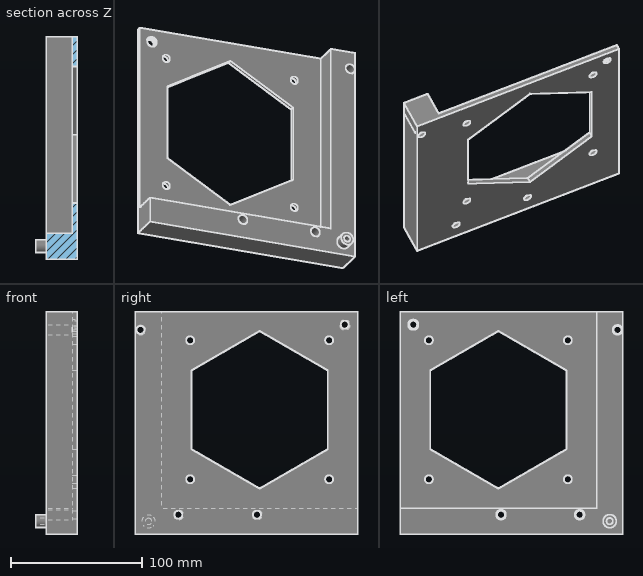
import cadquery as cq

side = 170.0
depth = 24.0
plate_thickness = 4.0
rail_width = 20.0

window_diameter = 120.0
window_centre = (side + rail_width) / 2

window_hole_diameter = 6.0
window_hole_spacing = 106.0

bore_diameter = 6.0
plate_counterbore_diameter = 8.0
plate_counterbore_depth = 2.0
plate_hole_inset = 10.0
rail_counterbore_diameter = 7.5
rail_counterbore_depth = depth - plate_thickness
side_rail_hole_y = 4.0
side_rail_hole_drop = 14.0
bottom_rail_hole_z = 15.0
bottom_rail_hole_y = 33.0
bottom_rail_hole_spacing = 60.0

pin_diameter = 10.0
pin_bore_diameter = 5.0
pin_length = 8.0
pin_inset = 10.0


def cylinder_along_x(diameter, x_start, length, y, z):
    """Solid cylinder running along +X from x_start, with its axis at (y, z)."""
    plane = cq.Workplane("YZ", origin=(x_start, y, z))
    return plane.circle(diameter / 2).extrude(length)


def counterbored_hole(x_face, y, z, counterbore_diameter, counterbore_depth):
    """Cutter for a through hole with its counterbore on the face at x_face."""
    bore = cylinder_along_x(bore_diameter, x_face, depth - x_face, y, z)
    counterbore = cylinder_along_x(counterbore_diameter, x_face, counterbore_depth, y, z)
    return bore.union(counterbore)


plate_face = depth - plate_thickness
frame = cq.Workplane("XY").box(depth, side, side, centered=False)
recess_side = side - rail_width
recess = (
    cq.Workplane("XY")
    .box(plate_face, recess_side, recess_side, centered=False)
    .translate((0, rail_width, rail_width))
)
frame = frame.cut(recess)

window = (
    cq.Workplane("YZ", origin=(plate_face, window_centre, window_centre))
    .transformed(rotate=(0, 0, 90))
    .polygon(6, window_diameter)
    .extrude(plate_thickness)
)
frame = frame.cut(window)

half_spacing = window_hole_spacing / 2
hole_positions = (window_centre - half_spacing, window_centre + half_spacing)
for y in hole_positions:
    for z in hole_positions:
        frame = frame.cut(cylinder_along_x(window_hole_diameter, plate_face, plate_thickness, y, z))

corner_hole_position = side - plate_hole_inset
frame = frame.cut(
    counterbored_hole(
        plate_face,
        corner_hole_position,
        corner_hole_position,
        plate_counterbore_diameter,
        plate_counterbore_depth,
    )
)

rail_holes = [
    (side_rail_hole_y, side - side_rail_hole_drop),
    (bottom_rail_hole_y, bottom_rail_hole_z),
    (bottom_rail_hole_y + bottom_rail_hole_spacing, bottom_rail_hole_z),
]
for y, z in rail_holes:
    frame = frame.cut(counterbored_hole(0, y, z, rail_counterbore_diameter, rail_counterbore_depth))

pin = cylinder_along_x(pin_diameter, -pin_length, pin_length, pin_inset, pin_inset)
pin_bore = cylinder_along_x(pin_bore_diameter, -pin_length, pin_length, pin_inset, pin_inset)

result = frame.union(pin).cut(pin_bore)